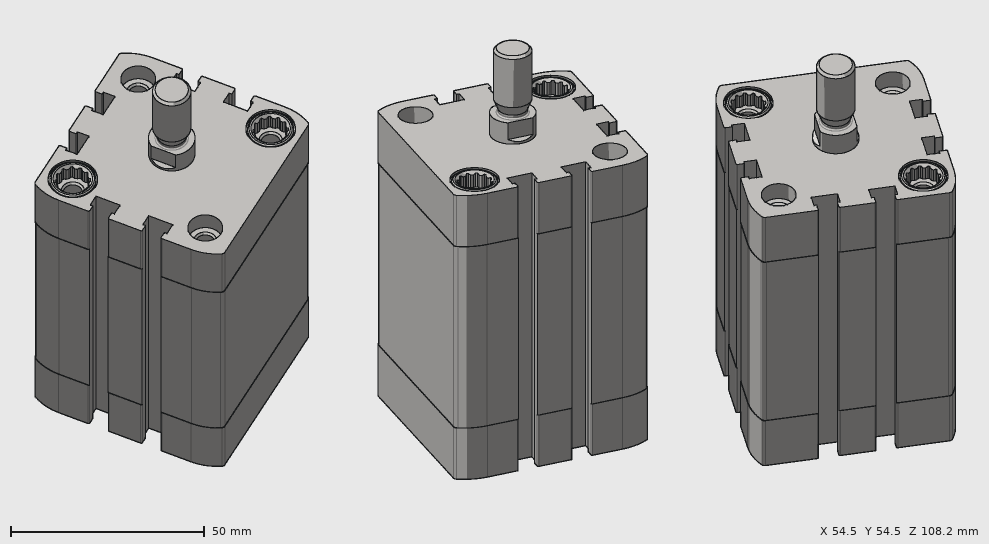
import cadquery as cq
import math

TOTAL_HEIGHT = 108.2
ROD_REACH = 25.0
HOUSING_HEIGHT = TOTAL_HEIGHT - ROD_REACH
CAP_HEIGHT = 15.0
CAP_WIDTH = 54.5
BARREL_INSET = 0.1
CORNER_ARC_RADIUS = 15.0
CAP_EDGE_RADIUS = 1.0
BARREL_EDGE_RADIUS = 1.4

SLOT_OFFSET = 7.6
SLOT_MOUTH = 5.4
SLOT_WIDTH = 6.9
SLOT_DEPTH = 5.5
SLOT_LIP = 2.2
CAP_MOUTH_RADIUS = 0.3
POSITION_TOLERANCE = 0.01
SLOTTED_FACES = [0, 90, -90]

HOLE_OFFSET = 19.0
BORE_DIAMETER = 4.9
BORE_CHAMFER_DIAMETER = 6.0
COUNTERBORE_DIAMETER = 9.0
COUNTERBORE_DEPTH = 5.0

COLLAR_RECESS_DIAMETER = 12.8
COLLAR_DIAMETER = 11.9
COLLAR_RIM_DIAMETER = 11.1
COLLAR_GROOVE_DEPTH = 0.6
SOCKET_CHAMFER_DIAMETER = 10.2
SOCKET_ROOT_DIAMETER = 9.2
SOCKET_LAND_DIAMETER = 8.4
SOCKET_DEPTH = 4.7
SOCKET_CHAMFER_DEPTH = 1.0
SPLINE_COUNT = 12
ROOT_HALF_ANGLE = 3.0
LAND_HALF_ANGLE = 5.0

SHOULDER_DIAMETER = 12.0
SHOULDER_HEIGHT = 6.2
FLAT_SPACING = 9.7
FLAT_BOTTOM = 1.3
FLAT_RUNOUT = 0.6
THREAD_DIAMETER = 10.0
THREAD_LENGTH = 14.8
TIP_DIAMETER = 8.5
NECK_DIAMETER = 7.7
NECK_LENGTH = 1.2
NECK_FILLET = 0.4


def prism(width, edge_radius, bottom, height):
    """Square block whose front and back faces curve down to the two sides."""
    half = width / 2
    run = half - HOLE_OFFSET
    drop = CORNER_ARC_RADIUS - math.sqrt(CORNER_ARC_RADIUS**2 - run**2)
    middle_run = CORNER_ARC_RADIUS * math.sin(math.asin(run / CORNER_ARC_RADIUS) / 2)
    middle_drop = CORNER_ARC_RADIUS - math.sqrt(CORNER_ARC_RADIUS**2 - middle_run**2)
    x_mid = HOLE_OFFSET + middle_run
    y_mid = half - middle_drop
    y_side = half - drop
    outline = (
        cq.Workplane("XY")
        .workplane(offset=bottom)
        .moveTo(-HOLE_OFFSET, half)
        .lineTo(HOLE_OFFSET, half)
        .threePointArc((x_mid, y_mid), (half, y_side))
        .lineTo(half, -y_side)
        .threePointArc((x_mid, -y_mid), (HOLE_OFFSET, -half))
        .lineTo(-HOLE_OFFSET, -half)
        .threePointArc((-x_mid, -y_mid), (-half, -y_side))
        .lineTo(-half, y_side)
        .threePointArc((-x_mid, y_mid), (-HOLE_OFFSET, half))
        .close()
    )
    block = outline.extrude(height)
    sides = block.edges("|Z").edges(">X or <X")
    return sides.fillet(edge_radius)


def slot_cutter(bottom, height):
    """T-slots of every slotted face."""
    face = CAP_WIDTH / 2
    chamber_depth = SLOT_DEPTH - SLOT_LIP
    cutter = cq.Workplane("XY")
    for angle in SLOTTED_FACES:
        for offset in (-SLOT_OFFSET, SLOT_OFFSET):
            mouth = cq.Workplane("XY").box(SLOT_DEPTH, SLOT_MOUTH, height, centered=(False, True, False))
            chamber = (
                cq.Workplane("XY")
                .box(chamber_depth, SLOT_WIDTH, height, centered=(False, True, False))
                .translate((SLOT_LIP, 0, 0))
            )
            slot = mouth.union(chamber).translate((-face, offset, bottom))
            cutter = cutter.add(slot.rotate((0, 0, 0), (0, 0, 1), angle))
    return cutter.combine()


def mouth_edges(block):
    """Vertical edges where the slot mouths open onto the slotted faces."""
    face = CAP_WIDTH / 2
    edges = []
    for edge in block.edges("|Z").vals():
        point = edge.Center()
        for along, across in ((-point.x, point.y), (abs(point.y), point.x)):
            at_mouth = abs(abs(abs(across) - SLOT_OFFSET) - SLOT_MOUTH / 2) < POSITION_TOLERANCE
            if at_mouth and abs(along - face) < POSITION_TOLERANCE:
                edges.append(edge)
    return block.newObject(edges)


def end_cap(bottom):
    cap = prism(CAP_WIDTH, CAP_EDGE_RADIUS, bottom, CAP_HEIGHT).cut(slot_cutter(bottom, CAP_HEIGHT))
    return mouth_edges(cap).fillet(CAP_MOUTH_RADIUS)


def barrel():
    height = HOUSING_HEIGHT - 2 * CAP_HEIGHT
    block = prism(CAP_WIDTH - 2 * BARREL_INSET, BARREL_EDGE_RADIUS, CAP_HEIGHT, height)
    return block.cut(slot_cutter(CAP_HEIGHT, height))


def bore_cutter(mouth_depth):
    """Through bore with a chamfer at the floor of the wider mouth, centred on Z."""
    floor = HOUSING_HEIGHT - mouth_depth
    bore = BORE_DIAMETER / 2
    mouth = BORE_CHAMFER_DIAMETER / 2
    profile = [(0, 0), (bore, 0), (bore, floor - (mouth - bore)), (mouth, floor), (0, floor)]
    return cq.Workplane("XZ").polyline(profile).close().revolve(360, (0, 0), (0, 1))


def counterbore_cutter():
    floor = HOUSING_HEIGHT - COUNTERBORE_DEPTH
    base = cq.Workplane("XY").workplane(offset=floor)
    return base.circle(COUNTERBORE_DIAMETER / 2).extrude(COUNTERBORE_DEPTH)


def spline_outline():
    """Corner points of the splined socket: a root and a land for every spline."""
    pitch = 360 / SPLINE_COUNT
    points = []
    for index in range(SPLINE_COUNT):
        for diameter, middle, half_angle in (
            (SOCKET_ROOT_DIAMETER, index * pitch, ROOT_HALF_ANGLE),
            (SOCKET_LAND_DIAMETER, (index + 0.5) * pitch, LAND_HALF_ANGLE),
        ):
            for turn in (middle - half_angle, middle + half_angle):
                angle = math.radians(turn)
                points.append((diameter / 2 * math.cos(angle), diameter / 2 * math.sin(angle)))
    return points


def collar_cutter():
    """Groove around the collar, chamfered socket mouth and splined socket."""
    top = HOUSING_HEIGHT
    recess = COLLAR_RECESS_DIAMETER / 2
    collar = COLLAR_DIAMETER / 2
    rim = COLLAR_RIM_DIAMETER / 2
    groove_profile = [
        (rim, top),
        (recess, top),
        (recess, top - COLLAR_GROOVE_DEPTH),
        (collar, top - COLLAR_GROOVE_DEPTH),
        (collar, top - (collar - rim)),
    ]
    groove = cq.Workplane("XZ").polyline(groove_profile).close().revolve(360, (0, 0), (0, 1))
    mouth = SOCKET_CHAMFER_DIAMETER / 2
    land = SOCKET_LAND_DIAMETER / 2
    chamfer_bottom = top - SOCKET_CHAMFER_DEPTH
    mouth_profile = [(0, top), (mouth, top), (land, chamfer_bottom), (0, chamfer_bottom)]
    chamfer = cq.Workplane("XZ").polyline(mouth_profile).close().revolve(360, (0, 0), (0, 1))
    cone_slope = SOCKET_CHAMFER_DEPTH / (mouth - land)
    root = SOCKET_ROOT_DIAMETER / 2
    root_top = top - cone_slope * (mouth - root)
    floor = top - SOCKET_DEPTH
    base = cq.Workplane("XY").workplane(offset=floor)
    splines = base.polyline(spline_outline()).close().extrude(root_top - floor)
    return groove.union(chamfer).union(splines)


def make_housing():
    housing = barrel().union(end_cap(0)).union(end_cap(HOUSING_HEIGHT - CAP_HEIGHT))
    for x_side in (-1, 1):
        for y_side in (-1, 1):
            place = (x_side * HOLE_OFFSET, y_side * HOLE_OFFSET, 0)
            if x_side == y_side:
                hole = collar_cutter().union(bore_cutter(SOCKET_DEPTH))
            else:
                hole = counterbore_cutter().union(bore_cutter(COUNTERBORE_DEPTH))
            housing = housing.cut(hole.translate(place))
    return housing


def flat_cutter(side):
    """Wrench flat on one Y side of the shoulder, with a sloping run-out below."""
    flat = FLAT_SPACING / 2
    shoulder = SHOULDER_DIAMETER / 2
    flat_bottom = HOUSING_HEIGHT + FLAT_BOTTOM
    shoulder_top = HOUSING_HEIGHT + SHOULDER_HEIGHT
    profile = [
        (side * flat, flat_bottom),
        (side * shoulder, flat_bottom - FLAT_RUNOUT),
        (side * shoulder, shoulder_top),
        (side * flat, shoulder_top),
    ]
    return cq.Workplane("YZ").polyline(profile).close().extrude(shoulder, both=True)


def make_piston_rod():
    base = HOUSING_HEIGHT
    shoulder_top = base + SHOULDER_HEIGHT
    shoulder = SHOULDER_DIAMETER / 2
    thread = THREAD_DIAMETER / 2
    tip = TIP_DIAMETER / 2
    neck = NECK_DIAMETER / 2
    thread_bottom = TOTAL_HEIGHT - THREAD_LENGTH
    fillet_middle = NECK_FILLET * (1 - math.sqrt(0.5))
    rod = (
        cq.Workplane("XZ")
        .moveTo(0, base)
        .lineTo(shoulder, base)
        .lineTo(shoulder, shoulder_top)
        .lineTo(neck + NECK_FILLET, shoulder_top)
        .threePointArc(
            (neck + fillet_middle, shoulder_top + fillet_middle),
            (neck, shoulder_top + NECK_FILLET),
        )
        .lineTo(neck, shoulder_top + NECK_LENGTH)
        .lineTo(thread, thread_bottom)
        .lineTo(thread, TOTAL_HEIGHT - (thread - tip))
        .lineTo(tip, TOTAL_HEIGHT)
        .lineTo(0, TOTAL_HEIGHT)
        .close()
        .revolve(360, (0, 0), (0, 1))
    )
    return rod.cut(flat_cutter(1)).cut(flat_cutter(-1))


housing = make_housing()
piston_rod = make_piston_rod()
result = cq.Compound.makeCompound([housing.val(), piston_rod.val()])